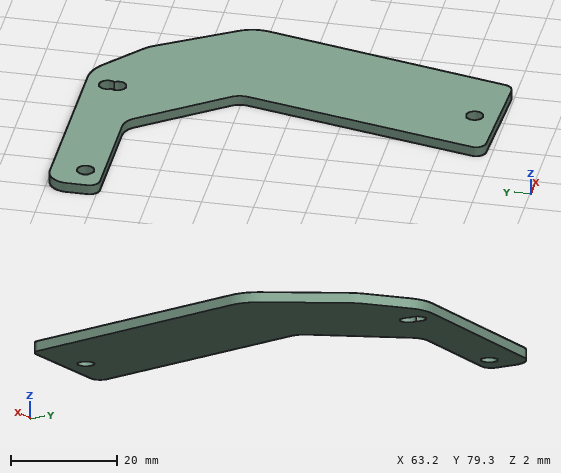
import cadquery as cq
import math

thickness = 2.0
hole_diameter = 3.25
arm_depth = 10.1

end_radius = 2.0
bend_radius = 4.0
outer_bend_radius = 7.9

corners = [
    ((0, 0), bend_radius),
    ((42.3, 0), outer_bend_radius),
    ((52.8, -8.95), outer_bend_radius),
    ((63.7, -27.1), outer_bend_radius),
    ((52.0, -79.35), end_radius),
    ((28.0, -78.5), end_radius),
    ((38.7, -29.4), bend_radius),
    ((24.9, -arm_depth), bend_radius),
    ((0, -arm_depth), end_radius),
]

double_hole_x = 37.4
double_hole_top_y = -4.3
double_hole_pitch = 2.0
hole_centres = [
    (5.5, -6.6),
    (39.95, -74.4),
    (double_hole_x, double_hole_top_y),
    (double_hole_x, double_hole_top_y - double_hole_pitch),
]


def rounded_corner(previous, corner, following, radius):
    """Return the start, middle and end of the arc that rounds a corner."""
    vertex = cq.Vector(*corner)
    back = (cq.Vector(*previous) - vertex).normalized()
    ahead = (cq.Vector(*following) - vertex).normalized()
    half_angle = back.getAngle(ahead) / 2
    tangent_length = radius / math.tan(half_angle)
    middle_distance = radius / math.sin(half_angle) - radius
    start = vertex + back * tangent_length
    middle = vertex + (back + ahead).normalized() * middle_distance
    end = vertex + ahead * tangent_length
    return start, middle, end


def make_plate():
    """Extrude the outline with every corner rounded."""
    arcs = []
    for index, (corner, radius) in enumerate(corners):
        previous = corners[index - 1][0]
        following = corners[(index + 1) % len(corners)][0]
        arcs.append(rounded_corner(previous, corner, following, radius))

    first_start, first_middle, first_end = arcs[0]
    outline = cq.Workplane("XY").moveTo(first_start.x, first_start.y)
    outline = outline.threePointArc(first_middle.toTuple()[:2], first_end.toTuple()[:2])
    for start, middle, end in arcs[1:]:
        outline = outline.lineTo(start.x, start.y)
        outline = outline.threePointArc(middle.toTuple()[:2], end.toTuple()[:2])
    return outline.close().extrude(thickness)


def drill_holes(plate):
    """Cut the through holes one by one, since two of them overlap."""
    for x, y in hole_centres:
        drill = cq.Workplane("XY").center(x, y).circle(hole_diameter / 2).extrude(thickness)
        plate = plate.cut(drill)
    return plate


result = drill_holes(make_plate())